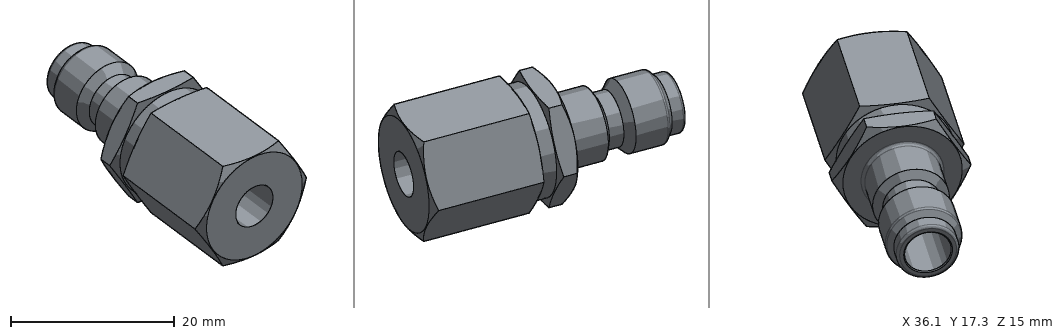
import cadquery as cq
import math

overall_length = 36.15
nose_end = 1.88
barrel_start = 2.65
barrel_end = 7.12
groove_start = 8.25
groove_end = 10.2
shank_start = 10.85
flange_start = 16.15
flange_end = 18.98
body_start = 20.93

bore_radius = 2.9
nose_radius = 3.9
barrel_radius = 4.77
groove_radius = 3.65
collar_radius = 7.35

across_flats = 15.0
across_corners = across_flats / math.cos(math.radians(30))
face_inset = 0.07
hex_face_radius = across_flats / 2 - face_inset
outer_chamfer_angle = 30.0
inner_chamfer_angle = 15.0

nose_fillet = 0.35
bore_chamfer = 0.15
barrel_fillet = 0.4
flange_fillet = 0.4


def revolve_profile(points):
    """Revolve a closed outline of (x, radius) points about the X axis."""
    return cq.Workplane("XY").polyline(points).close().revolve(360, (0, 0, 0), (1, 0, 0))


def circle_edge(x, radius):
    """Selector for the circular edge of the given radius at station x."""
    margin = 0.05
    reach = radius + margin
    return cq.selectors.BoxSelector(
        (x - margin, -reach, -reach), (x + margin, reach, reach), boundingbox=True
    )


def plug():
    """Nose, retaining barrel, locking groove and shank."""
    profile = [
        (0, 0),
        (0, nose_radius),
        (nose_end, nose_radius),
        (barrel_start, barrel_radius),
        (barrel_end, barrel_radius),
        (groove_start, groove_radius),
        (groove_end, groove_radius),
        (shank_start, barrel_radius),
        (flange_start, barrel_radius),
        (flange_start, 0),
    ]
    turned = revolve_profile(profile)
    turned = turned.edges(circle_edge(0, nose_radius)).fillet(nose_fillet)
    return turned.edges(circle_edge(barrel_start, barrel_radius)).fillet(barrel_fillet)


def chamfered_hex(start, end, start_face, start_angle, end_face, end_angle):
    """Hexagon along X with corners turned off by a cone at each end.

    Each cone starts at its face radius and is tilted by its angle from the end plane.
    """
    corner_radius = across_corners / 2
    start_depth = (corner_radius - start_face) * math.tan(math.radians(start_angle))
    end_depth = (corner_radius - end_face) * math.tan(math.radians(end_angle))
    prism = (
        cq.Workplane("YZ", origin=(start, 0, 0))
        .polygon(6, across_corners)
        .extrude(end - start)
    )
    envelope = revolve_profile([
        (start, 0),
        (start, start_face),
        (start + start_depth, corner_radius),
        (end - end_depth, corner_radius),
        (end, end_face),
        (end, 0),
    ])
    return prism.intersect(envelope)


flange = chamfered_hex(
    flange_start, flange_end,
    hex_face_radius, outer_chamfer_angle, collar_radius, inner_chamfer_angle,
)
body = chamfered_hex(
    body_start, overall_length,
    collar_radius, inner_chamfer_angle, hex_face_radius, outer_chamfer_angle,
)
collar_length = body_start - flange_end
collar = cq.Workplane("YZ", origin=(flange_end, 0, 0)).circle(collar_radius).extrude(collar_length)

fitting = plug().union(flange).union(collar).union(body)
fitting = fitting.edges(circle_edge(flange_start, barrel_radius)).fillet(flange_fillet)

bore = cq.Workplane("YZ").circle(bore_radius).extrude(overall_length)
result = fitting.cut(bore)
result = result.edges(circle_edge(0, bore_radius)).chamfer(bore_chamfer)